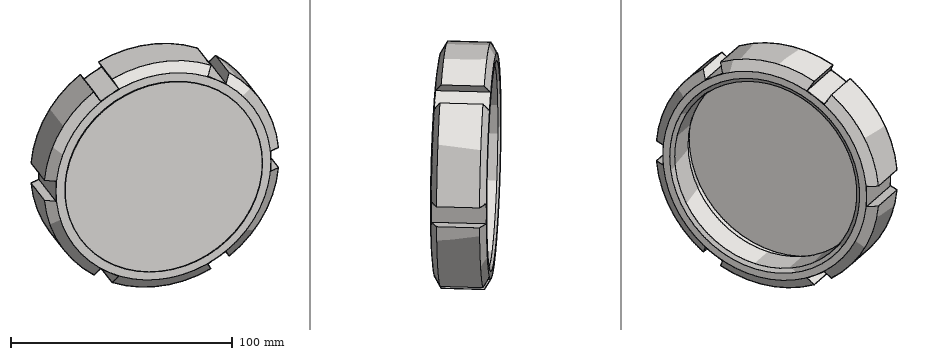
import cadquery as cq


outer_diameter = 111.6
face_diameter = 102.0
body_length = 25.0
bevel_length = 2.8

disc_diameter = 93.7
total_length = 25.5

bore_diameter = 91.2
groove_diameter = 95.8
groove_start = 15.0
bore_depth = 21.0
mouth_diameter = 95.1
mouth_chamfer_length = 1.1

slot_count = 6
slot_width = 9.9
slot_floor_radius = face_diameter / 2


def make_body():
    """Revolve the half section (axial position, radius) about the X axis."""
    outer_radius = outer_diameter / 2
    face_radius = face_diameter / 2
    bore_radius = bore_diameter / 2
    groove_radius = groove_diameter / 2
    disc_radius = disc_diameter / 2
    section = [
        (0, mouth_diameter / 2),
        (0, face_radius),
        (bevel_length, outer_radius),
        (body_length - bevel_length, outer_radius),
        (body_length, face_radius),
        (body_length, disc_radius),
        (total_length, disc_radius),
        (total_length, 0),
        (bore_depth, 0),
        (bore_depth, groove_radius),
        (groove_start, groove_radius),
        (groove_start, bore_radius),
        (mouth_chamfer_length, bore_radius),
    ]
    return cq.Workplane("XY").polyline(section).close().revolve(360, (0, 0, 0), (1, 0, 0))


def make_slot(angle):
    """Cutter for one spanner slot, starting on the +Y side and turned about X."""
    slot_reach = outer_diameter / 2
    cutter = cq.Workplane("XY").box(
        total_length, slot_reach, slot_width, centered=(False, False, True)
    )
    return cutter.translate((0, slot_floor_radius, 0)).rotate((0, 0, 0), (1, 0, 0), angle)


result = make_body()
for index in range(slot_count):
    result = result.cut(make_slot(index * 360 / slot_count))